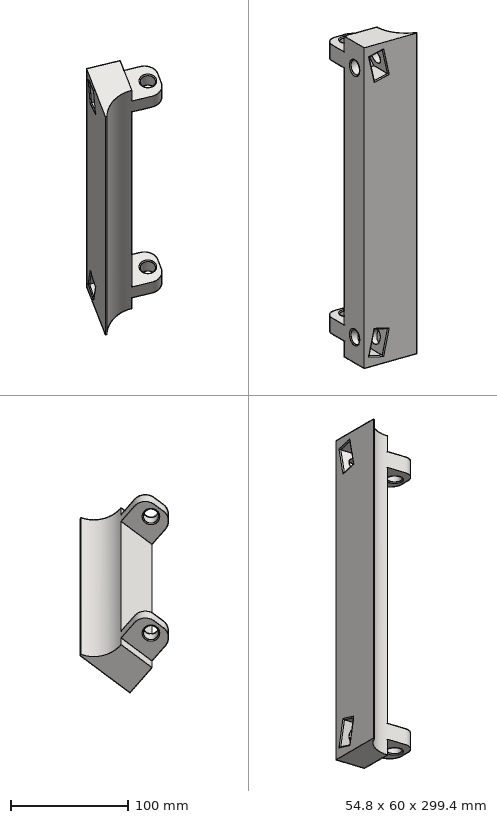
import cadquery as cq
import math

length = 299.44
total_width = 54.81
bar_depth = 30.0
rear_width = 34.0
flare_radius = 30.0

lug_reach = 30.0
lug_thickness = 15.0
lug_center_z = 127.5
lug_corner_radius = 12.0
lug_hole_setback = 10.5

hole_diameter = 13.0
hole_chamfer = 1.0

bolt_tilt = 13.0
bolt_entry_z = 125.7
bolt_y = 14.5
pocket_center_distance = 15.7
pocket_thickness = 14.0
pocket_flats = 24.0
pocket_mouth_chamfer = 1.0
bolt_tip_clearance = 6.0
entry_overrun = 5.0


def make_bar():
    """Bar whose +X side is an arc, tangent to Y at the rear and ending at a thin tip."""
    flare = total_width - rear_width
    sweep = math.acos(1 - flare / flare_radius)
    tip_thickness = bar_depth - flare_radius * math.sin(sweep)
    arc_middle = (
        rear_width + flare_radius * (1 - math.cos(sweep / 2)),
        bar_depth - flare_radius * math.sin(sweep / 2),
    )
    return (
        cq.Workplane("XY", origin=(0, 0, -length / 2))
        .lineTo(total_width, 0)
        .lineTo(total_width, tip_thickness)
        .threePointArc(arc_middle, (rear_width, bar_depth))
        .lineTo(0, bar_depth)
        .close()
        .extrude(length)
    )


def make_lug():
    """Upper lug with rounded rear corners and a chamfered vertical hole."""
    hole_y = bar_depth + lug_reach - lug_hole_setback
    bottom_z = lug_center_z - lug_thickness / 2
    lug = (
        cq.Workplane("XY", origin=(0, bar_depth, bottom_z))
        .rect(rear_width, lug_reach, centered=False)
        .extrude(lug_thickness)
        .edges("|Z and >Y")
        .fillet(lug_corner_radius)
    )
    hole = (
        cq.Workplane("XY", origin=(rear_width / 2, hole_y, bottom_z))
        .circle(hole_diameter / 2)
        .extrude(lug_thickness)
    )
    hole_rims = cq.selectors.RadiusNthSelector(0)
    return lug.cut(hole).faces("|Z").edges(hole_rims).chamfer(hole_chamfer)


def make_bolt_cutter():
    """Upper bolt hole and nut pocket, rising from the -X face toward +X."""
    hole_depth = pocket_center_distance + pocket_thickness / 2 + bolt_tip_clearance
    hole = (
        cq.Workplane("YZ", origin=(-entry_overrun, 0, 0))
        .circle(hole_diameter / 2)
        .extrude(entry_overrun + hole_depth)
    )

    pocket_start = pocket_center_distance - pocket_thickness / 2
    hexagon_radius = pocket_flats / math.sqrt(3)
    hexagon = (
        cq.Workplane("YZ", origin=(pocket_start, 0, 0))
        .polygon(6, 2 * hexagon_radius)
        .extrude(pocket_thickness)
    )
    channel = (
        cq.Workplane("XZ", origin=(pocket_center_distance, 0, 0))
        .rect(pocket_thickness, pocket_flats)
        .extrude(bolt_y)
    )
    mouth = (
        cq.Workplane("XZ", origin=(pocket_center_distance, -bolt_y, 0))
        .rect(pocket_thickness + 2 * pocket_mouth_chamfer, pocket_flats + 2 * pocket_mouth_chamfer)
        .workplane(offset=-pocket_mouth_chamfer)
        .rect(pocket_thickness, pocket_flats)
        .loft(ruled=True)
    )
    cutter = hole.union(hexagon).union(channel).union(mouth)
    return cutter.rotate((0, 0, 0), (0, 1, 0), -bolt_tilt).translate((0, bolt_y, bolt_entry_z))


lug = make_lug()
bolt_cutter = make_bolt_cutter()

result = make_bar().union(lug).union(lug.mirror("XY"))
result = result.cut(bolt_cutter).cut(bolt_cutter.mirror("XY"))
result = result.faces("<X").edges("%ELLIPSE").chamfer(hole_chamfer)